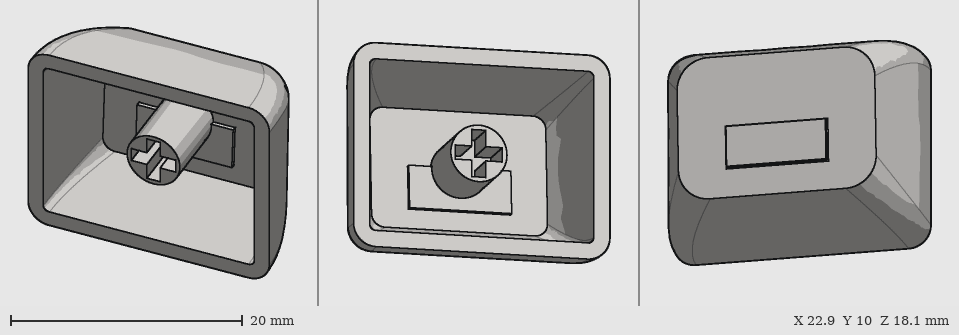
import cadquery as cq
import math

RIM_WIDTH = 22.85
RIM_HEIGHT = 18.1
RIM_CORNER_RADIUS = 2.0
CROWN_WIDTH = 17.55
CROWN_HEIGHT = 12.62
CROWN_CORNER_RADIUS = 2.75
CROWN_DISTANCE = 9.58
CROWN_TILT = 4.0

RIM_WALL = 1.45
CAVITY_WIDTH = RIM_WIDTH - 2 * RIM_WALL
CAVITY_HEIGHT = RIM_HEIGHT - 2 * RIM_WALL
CAVITY_CORNER_RADIUS = 0.55
CROWN_WALL = 1.5
FLOOR_DISTANCE = CROWN_DISTANCE - CROWN_WALL / math.cos(math.radians(CROWN_TILT))
FLOOR_WIDTH = 15.68
FLOOR_HEIGHT = 10.84
FLOOR_CORNER_RADIUS = 1.15

STEM_DIAMETER = 5.0
STEM_RECESS = 1.0
CROSS_SPAN = 4.18
CROSS_ARM = 1.25
CROSS_DEPTH = 4.0

LEGEND_WIDTH = 9.1
LEGEND_HEIGHT = 3.85
LEGEND_DROP = 1.74
LEGEND_MARGIN = 0.14
LEGEND_OUTER_RISE = 0.37
LEGEND_INNER_RISE = 0.43

LOFT_STEPS = 4


def tilted_plane(distance, tilt):
    """Plane at a distance from the rim, its normal leaning from +Y down to -Z."""
    angle = math.radians(tilt)
    return cq.Plane(
        origin=(0, distance, 0),
        xDir=(1, 0, 0),
        normal=(0, math.cos(angle), -math.sin(angle)),
    )


def rounded_outline(plane, width, height, radius):
    """Closed wire of a rounded rectangle centred on a plane."""
    half_width, half_height = width / 2, height / 2
    flat_x, flat_y = half_width - radius, half_height - radius
    arc_mid = radius * math.sqrt(0.5)
    mid_x, mid_y = flat_x + arc_mid, flat_y + arc_mid
    return (
        cq.Workplane(plane)
        .moveTo(-flat_x, -half_height)
        .lineTo(flat_x, -half_height)
        .threePointArc((mid_x, -mid_y), (half_width, -flat_y))
        .lineTo(half_width, flat_y)
        .threePointArc((mid_x, mid_y), (flat_x, half_height))
        .lineTo(-flat_x, half_height)
        .threePointArc((-mid_x, mid_y), (-half_width, flat_y))
        .lineTo(-half_width, -flat_y)
        .threePointArc((-mid_x, -mid_y), (-flat_x, -half_height))
        .close()
        .val()
    )


def domed_body(rim, crown, distance):
    """Loft between (width, height, radius) outlines, drawing in with the square of the height."""
    outlines = []
    for step in range(LOFT_STEPS + 1):
        share = step / LOFT_STEPS
        width, height, radius = (
            start + (end - start) * share**2 for start, end in zip(rim, crown)
        )
        plane = tilted_plane(distance * share, CROWN_TILT * share**2)
        outlines.append(rounded_outline(plane, width, height, radius))
    return cq.Workplane(cq.Solid.makeLoft(outlines))


def make_legend():
    """Stepped block square to the crown, centred below the stem."""
    floor = cq.Workplane(tilted_plane(FLOOR_DISTANCE, CROWN_TILT))
    plate = (
        floor.workplane(offset=-LEGEND_INNER_RISE)
        .center(0, LEGEND_DROP)
        .rect(LEGEND_WIDTH, LEGEND_HEIGHT)
        .extrude(LEGEND_INNER_RISE + CROWN_WALL)
    )
    panel = (
        floor.center(0, LEGEND_DROP)
        .rect(LEGEND_WIDTH - 2 * LEGEND_MARGIN, LEGEND_HEIGHT - 2 * LEGEND_MARGIN)
        .extrude(CROWN_WALL + LEGEND_OUTER_RISE)
    )
    return plate.union(panel)


def make_stem(length):
    """Round post along +Y with a blind cross socket in its free end."""
    end = cq.Plane(origin=(0, STEM_RECESS, 0), xDir=(1, 0, 0), normal=(0, 1, 0))
    post = cq.Workplane(end).circle(STEM_DIAMETER / 2).extrude(length)
    for width, height in ((CROSS_SPAN, CROSS_ARM), (CROSS_ARM, CROSS_SPAN)):
        post = post.cut(cq.Workplane(end).rect(width, height).extrude(CROSS_DEPTH))
    return post


def make_keycap(legend):
    """Hollow cap with its stem, cut to fit the legend insert."""
    outer = domed_body(
        (RIM_WIDTH, RIM_HEIGHT, RIM_CORNER_RADIUS),
        (CROWN_WIDTH, CROWN_HEIGHT, CROWN_CORNER_RADIUS),
        CROWN_DISTANCE,
    )
    cavity = domed_body(
        (CAVITY_WIDTH, CAVITY_HEIGHT, CAVITY_CORNER_RADIUS),
        (FLOOR_WIDTH, FLOOR_HEIGHT, FLOOR_CORNER_RADIUS),
        FLOOR_DISTANCE,
    )
    mid_wall = FLOOR_DISTANCE + CROWN_WALL / 2
    stem = make_stem(mid_wall - STEM_RECESS)
    return outer.cut(cavity).union(stem).cut(legend)


legend = make_legend()
keycap = make_keycap(legend)

result = cq.Compound.makeCompound([keycap.val(), legend.val()])